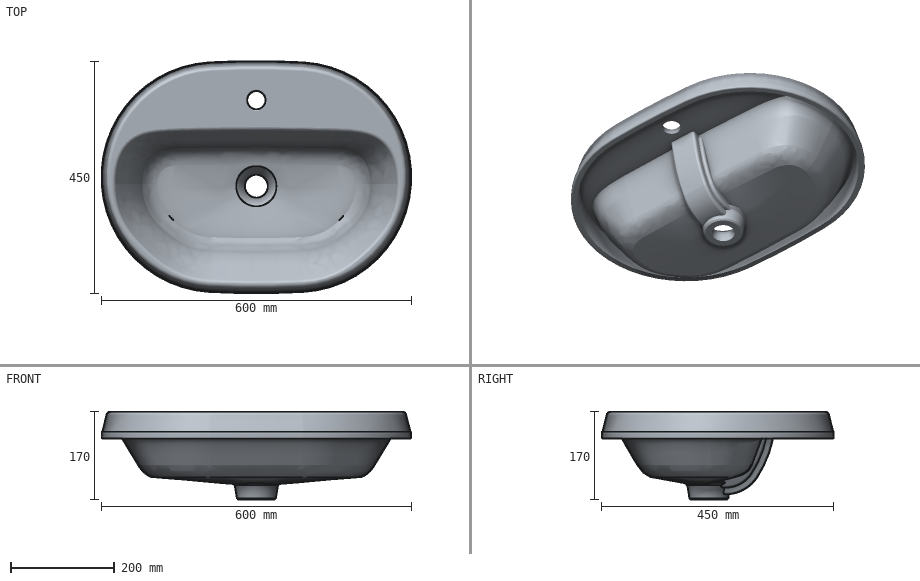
import cadquery as cq
import math

LENGTH = 600.0
WIDTH = 450.0
HEIGHT = 170.0

RIM_HEIGHT = 52.0
LONG_SIDE_HALF = 90.0
DECK_THICKNESS = 14.0
RIM_TOP_INSET = 11.0
RIM_TOP_RADIUS = 8.0
LIP_TOP_Z = -38.5
LIP_STEP = 1.5
LIP_TOP_INSET = 0.5
LIP_SIDE_Z = -43.0
LIP_BOTTOM_RADIUS = 3.0
CAVITY_BOTTOM_INSET = 12.0
CAVITY_TOP_INSET = 20.0

ROUND_CORNERS = (0.735, 0.69)
RIM_CORNERS = (0.77, 0.68)

BACK_CORNER_X = 154.0
FRONT_CORNER_X = 88.0
WIDEST_Y = -13.0
SIDE_BOW = 2.0
BURIED_TOP_Z = 4.0 - DECK_THICKNESS
INNER_RIM = (275.0, 92.0, -202.0, 0.0, *RIM_CORNERS)
INNER_CREASE = (221.0, 58.0, -144.0, -97.0, *ROUND_CORNERS)
INNER_FLOOR = (192.0, 25.0, -118.0, -116.0, *ROUND_CORNERS)
OUTER_TOP = (278.0, 101.0, -207.0, BURIED_TOP_Z, *RIM_CORNERS)
OUTER_MIDDLE = (260.0, 85.0, -186.0, -RIM_HEIGHT, *RIM_CORNERS)
OUTER_CREASE = (229.0, 66.0, -156.0, -103.0, *ROUND_CORNERS)
OUTER_FLOOR = (203.0, 33.0, -130.0, -126.5, *ROUND_CORNERS)
BEND_OVERRUN = 0.75
BOWL_EDGE_RADIUS = 7.0
INNER_LOWEST_Z = -125.5
OUTER_LOWEST_Z = -140.0

TAP_Y = 149.0
TAP_DIAMETER = 35.0
TAP_EDGE_RADIUS = 3.5

DRAIN_Y = -17.5
DRAIN_BORE_RADIUS = 22.0
FUNNEL_TOP_RADIUS = 39.0
FUNNEL_BOTTOM_RADIUS = 25.0
FUNNEL_TOP_Z = -126.0
FUNNEL_BOTTOM_Z = -143.0
FUNNEL_CLEARANCE = 20.0
BORE_CHAMFER = 3.0
BOSS_TOP_RADIUS = 42.0
BOSS_BOTTOM_RADIUS = 38.0
BOSS_TOP_Z = -142.5
BOSS_FLARE = 5.0
BOSS_CHAMFER = 3.0

CHANNEL_TOP_Z = 6.0 - DECK_THICKNESS
CHANNEL_BOTTOM_Z = -160.0
CHANNEL_WIDTH = 56.0
CHANNEL_EDGE_RADIUS = 5.0
CHANNEL_FOOT_SINK = 13.0
CHANNEL_FOOT_WIDTH = 70.0
CHANNEL_TOP_OUTER = (117.0, CHANNEL_TOP_Z)
CHANNEL_BEND_START = (106.5, -54.0)
CHANNEL_BEND_MIDDLE = (95.0, -91.0)
CHANNEL_BEND_END = (76.0, -127.0)
CHANNEL_RUN_OUT = (20.0, CHANNEL_BOTTOM_Z)
CHANNEL_INNER_END = (DRAIN_Y, -118.0)
CHANNEL_INNER_BEND = (25.0, -108.0)
CHANNEL_TOP_INNER = (70.0, CHANNEL_TOP_Z)


def rim_outline(inset, z):
    """Closed rim wire: two long bowed sides joined tangentially to round ends."""
    low, high = 0.0, 1.0
    for _ in range(60):
        tilt = (low + high) / 2
        end_radius = (LENGTH / 2 - LONG_SIDE_HALF) / (1 - math.sin(tilt))
        peak = end_radius * math.cos(tilt) + LONG_SIDE_HALF * math.tan(tilt / 2)
        if peak < WIDTH / 2:
            low = tilt
        else:
            high = tilt
    end_x = LENGTH / 2 - end_radius
    radius = end_radius - inset
    side_x = end_x + radius * math.sin(tilt)
    side_y = radius * math.cos(tilt)
    half_length = LENGTH / 2 - inset
    half_width = WIDTH / 2 - inset
    return (
        cq.Workplane("XY", origin=(0, 0, z))
        .moveTo(side_x, -side_y)
        .threePointArc((half_length, 0), (side_x, side_y))
        .threePointArc((0, half_width), (-side_x, side_y))
        .threePointArc((-half_length, 0), (-side_x, -side_y))
        .threePointArc((0, -half_width), (side_x, -side_y))
        .close()
        .val()
    )


def rim_loft(*levels):
    """Ruled solid through rim outlines given as (inset, z)."""
    return cq.Workplane(cq.Solid.makeLoft([rim_outline(*level) for level in levels], True))


def bowl_outline(half_width, back_y, front_y, z, back_fullness, front_fullness):
    """D-shaped wire: slightly bowed back and front joined by rounded corners."""
    def corner(centre_x, peak_y, side, fullness):
        outward = math.copysign(1, peak_y - WIDEST_Y)
        end_y = peak_y - outward * SIDE_BOW
        reach_x = half_width - centre_x
        reach_y = end_y - WIDEST_Y
        start = cq.Vector(half_width * side, WIDEST_Y, z)
        middle = cq.Vector((centre_x + reach_x * fullness) * side, WIDEST_Y + reach_y * fullness, z)
        end = cq.Vector(centre_x * side, end_y, z)
        end_tilt = 2 * math.atan(SIDE_BOW / centre_x)
        leave = cq.Vector(0, outward, 0)
        arrive = cq.Vector(-side * math.cos(end_tilt), outward * math.sin(end_tilt), 0)
        return cq.Edge.makeSpline([start, middle, end], [leave, arrive])

    def bowed_side(half_length, peak_y):
        end_y = peak_y - math.copysign(SIDE_BOW, peak_y - WIDEST_Y)
        left = cq.Vector(-half_length, end_y, z)
        right = cq.Vector(half_length, end_y, z)
        return cq.Edge.makeThreePointArc(left, cq.Vector(0, peak_y, z), right)

    edges = [
        corner(BACK_CORNER_X, back_y, 1, back_fullness),
        bowed_side(BACK_CORNER_X, back_y),
        corner(BACK_CORNER_X, back_y, -1, back_fullness),
        corner(FRONT_CORNER_X, front_y, -1, front_fullness),
        bowed_side(FRONT_CORNER_X, front_y),
        corner(FRONT_CORNER_X, front_y, 1, front_fullness),
    ]
    return cq.Wire.assembleEdges(edges)


def bend_section(wall_top, crease, floor):
    """Section halfway round the bend that carries the wall on into the floor."""
    overrun = (floor[3] - crease[3]) * BEND_OVERRUN / (crease[3] - wall_top[3])
    control = [c + (c - w) * overrun for w, c in zip(wall_top, crease)]
    return [(c + 2 * k + f) / 4 for c, k, f in zip(crease, control, floor)]


def skirt(sections, ruled):
    """Side faces of a loft through bowl sections, without its flat ends."""
    loft = cq.Solid.makeLoft([bowl_outline(*section) for section in sections], ruled)
    return cq.Workplane(loft).faces("not |Z").vals()


def bowl_body(walls, floor, lowest_z):
    """Solid bowl: straight walls, a rounded bend and a floor sagging to the drain."""
    crease = walls[-1]
    bend = bend_section(walls[-2], crease, floor)
    lid = cq.Face.makeFromWires(bowl_outline(*walls[0]))
    lowest = cq.Vector(0, DRAIN_Y, lowest_z)
    dish = cq.Face.makeNSidedSurface(bowl_outline(*floor).Edges(), [lowest])
    skin = [lid, dish] + skirt(walls, True) + skirt([crease, bend, floor], False)
    return cq.Workplane(cq.Solid.makeSolid(cq.Shell.makeShell(skin)))


def rim():
    """Hollow rim: deck, leaning outer wall and a lip around its foot."""
    wall = rim_loft((RIM_TOP_INSET, 0), (LIP_STEP, LIP_TOP_Z))
    wall = wall.faces(">Z").edges().fillet(RIM_TOP_RADIUS)
    lip = rim_loft((LIP_TOP_INSET, LIP_TOP_Z), (0, LIP_SIDE_Z), (0, -RIM_HEIGHT))
    lip = lip.faces("<Z").edges().fillet(LIP_BOTTOM_RADIUS)
    cavity = rim_loft((CAVITY_TOP_INSET, -DECK_THICKNESS), (CAVITY_BOTTOM_INSET, -RIM_HEIGHT))
    return wall.union(lip).cut(cavity)


def channel_rib(sink, width):
    """Rounded rib down the back of the bowl, its outer face sunk towards the bowl."""
    profile = (
        cq.Workplane("YZ")
        .moveTo(*CHANNEL_TOP_INNER)
        .lineTo(*CHANNEL_TOP_OUTER)
        .lineTo(*CHANNEL_BEND_START)
        .threePointArc(CHANNEL_BEND_MIDDLE, CHANNEL_BEND_END)
        .tangentArcPoint(CHANNEL_RUN_OUT, relative=False)
        .lineTo(DRAIN_Y, CHANNEL_BOTTOM_Z)
        .lineTo(*CHANNEL_INNER_END)
        .lineTo(*CHANNEL_INNER_BEND)
        .close()
    )
    if sink:
        profile = profile.offset2D(-sink)
    rib = profile.extrude(width / 2, both=True)
    return rib.faces("<X or >X").edges().fillet(CHANNEL_EDGE_RADIUS)


def overflow_channel():
    """Rib from the deck down to the drain boss, on a wider foot against the bowl."""
    return channel_rib(0, CHANNEL_WIDTH).union(channel_rib(CHANNEL_FOOT_SINK, CHANNEL_FOOT_WIDTH))


def revolve_at_drain(points):
    """Solid of revolution about the drain axis from (radius, z) points."""
    profile = cq.Workplane("XZ", origin=(0, DRAIN_Y, 0)).polyline(points).close()
    return profile.revolve(360, (0, 0, 0), (0, 1, 0))


def drain_boss():
    """Tapered outlet below the bowl, flared where it meets the floor."""
    buried_z = FUNNEL_TOP_Z - BOSS_FLARE - 2.0
    return revolve_at_drain([
        (0, buried_z),
        (BOSS_TOP_RADIUS, buried_z),
        (BOSS_TOP_RADIUS + BOSS_FLARE, BOSS_TOP_Z + BOSS_FLARE),
        (BOSS_TOP_RADIUS, BOSS_TOP_Z),
        (BOSS_BOTTOM_RADIUS, BOSS_CHAMFER - HEIGHT),
        (BOSS_BOTTOM_RADIUS - BOSS_CHAMFER, -HEIGHT),
        (0, -HEIGHT),
    ])


def drain_passage():
    """Funnel and bore through the boss."""
    return revolve_at_drain([
        (0, FUNNEL_TOP_Z + FUNNEL_CLEARANCE),
        (FUNNEL_TOP_RADIUS, FUNNEL_TOP_Z + FUNNEL_CLEARANCE),
        (FUNNEL_TOP_RADIUS, FUNNEL_TOP_Z),
        (FUNNEL_BOTTOM_RADIUS, FUNNEL_BOTTOM_Z),
        (DRAIN_BORE_RADIUS, FUNNEL_BOTTOM_Z - BORE_CHAMFER),
        (DRAIN_BORE_RADIUS, -HEIGHT),
        (0, -HEIGHT),
    ])


def round_bowl_edge(body):
    """Round the edge between the deck and the bowl opening."""
    deck = body.faces(">Z").val()
    return body.newObject(deck.innerWires()[0].Edges()).fillet(BOWL_EDGE_RADIUS)


def add_tap_hole(body):
    """Hole through the deck with a rounded upper edge."""
    drill = cq.Workplane("XY").center(0, TAP_Y).circle(TAP_DIAMETER / 2).extrude(-RIM_HEIGHT)
    drilled = body.cut(drill)
    circles = drilled.faces(">Z").edges("%CIRCLE").vals()
    hole_edges = [edge for edge in circles if abs(edge.Center().y - TAP_Y) < 1]
    return drilled.newObject(hole_edges).fillet(TAP_EDGE_RADIUS)


outer_bowl = bowl_body([OUTER_TOP, OUTER_MIDDLE, OUTER_CREASE], OUTER_FLOOR, OUTER_LOWEST_Z)
inner_bowl = bowl_body([INNER_RIM, INNER_CREASE], INNER_FLOOR, INNER_LOWEST_Z)
underside = outer_bowl.union(overflow_channel()).union(drain_boss())
basin = rim().union(underside).cut(inner_bowl)
basin = round_bowl_edge(basin)
basin = basin.cut(drain_passage())
result = add_tap_hole(basin)